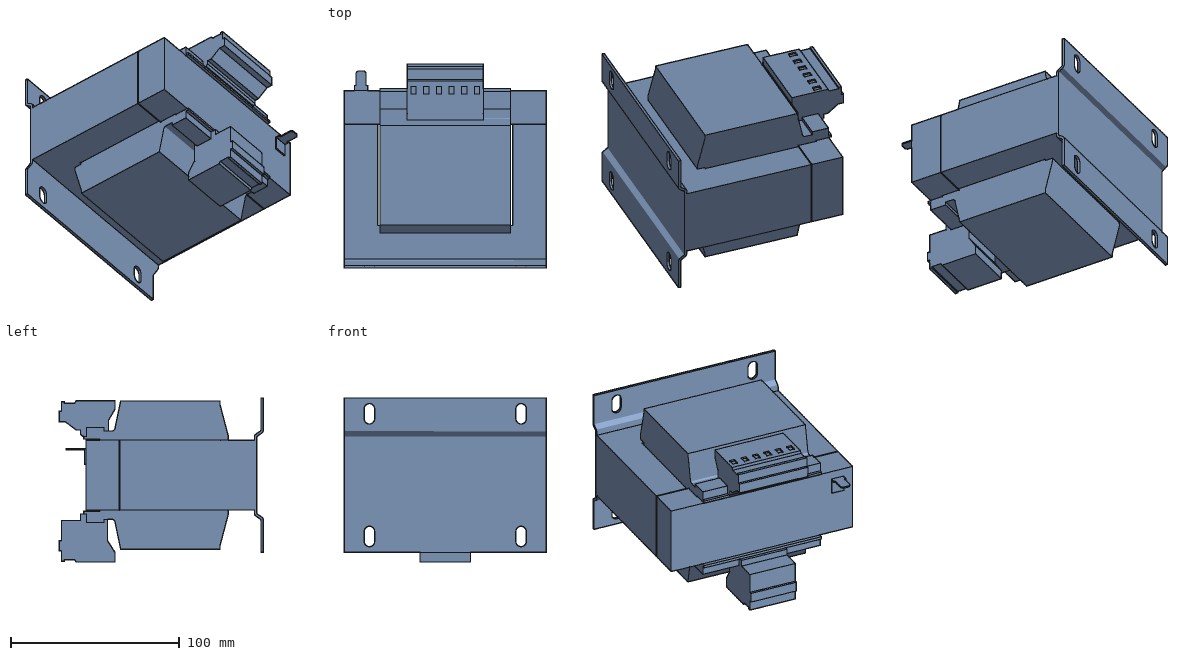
import cadquery as cq
import math


plate_width = 120.0
plate_half_height = 45.9
plate_thickness = 1.6
plate_offset = 3.9
joggle_centre = 24.6
joggle_slope_angle = 35
inner_bend_radius = 0.7
outer_bend_radius = inner_bend_radius + plate_thickness
slot_width = 6.1
slot_length = 12.0
slot_spacing_x = 90.0
slot_spacing_z = 72.8

core_width = plate_width
core_height = 41.5
core_front = plate_offset + plate_thickness
leg_width = 20.0
window_length = 59.9
window_front = core_front + leg_width
window_back = window_front + window_length
core_back = window_back + leg_width
core_top = core_height / 2
seam_width = 0.4
seam_depth = 0.2

coil_width = 77.6
coil_height = 44.0
coil_front = 20.9
coil_front_top = 25.7
coil_front_slope_low = 23.4
coil_front_slope_high = 41.8
coil_back_top = 84.8
trough_floor = 26.2
trough_front = 88.1
trough_radius = 2.1
ledge_front = 94.5
ledge_back = 104.9
ledge_top = 28.3
lip_back = 106.7
lip_top = 22.9
lip_bottom = 21.3
lip_relief_front = 97.2

terminal_back = 121.3
terminal_back_wall = 119.8
terminal_front = 88.1
terminal_neck_back = 108.6
neck_corner = 1.2
terminal_pitch = 7.5
top_terminals = 6
bottom_terminals = 4
groove_back = 118.1
groove_front = 112.1
groove_ramp = 0.8
groove_depth = 1.5
rim_drop = 0.5
top_terminal_height = 44.2
top_neck_front = 92.0
bottom_terminal_height = 51.7
bottom_neck_front = 92.4
terminal_hole_width = 3.2
terminal_hole_length = 4.5
terminal_hole_depth = 1.0
terminal_hole_y = 105.7

tab_x = -50.0
tab_thickness = 0.8
tab_top = 15.6
tab_bottom = 6.3
tab_end = 117.0
tab_width = 6.1
tab_chamfer = 1.1
tab_base_width = 8.0
tab_base_end = 108.5


def extrude_along_x(points, width):
    """Extrude a (Y, Z) outline to the given width, centred on X = 0."""
    return cq.Workplane("YZ").polyline(points).close().extrude(width / 2, both=True)


def block(x_size, y_start, y_end, z_start, z_end, x_centre=0):
    """Box centred on x_centre, between the given Y and Z limits."""
    size = (x_size, y_end - y_start, z_end - z_start)
    return cq.Workplane("XY").box(*size, centered=(True, False, False)).translate((x_centre, y_start, z_start))


def fillet_corner(solid, y, z, radius):
    """Round the edge that runs along X through the given (Y, Z) corner."""
    corner = cq.selectors.NearestToPointSelector((0, y, z))
    return solid.edges("|X").edges(corner).fillet(radius)


def make_plate():
    half_climb = plate_offset * math.tan(math.radians(joggle_slope_angle)) / 2
    bend_angle = math.radians(90 - joggle_slope_angle)
    miter = plate_thickness / 2 * math.tan(bend_angle / 2)
    flange_bend = joggle_centre + half_climb
    web_bend = joggle_centre - half_climb
    front_edge = [
        (0, plate_half_height),
        (0, flange_bend - miter),
        (plate_offset, web_bend - miter),
    ]
    back_edge = [
        (core_front, web_bend + miter),
        (plate_thickness, flange_bend + miter),
        (plate_thickness, plate_half_height),
    ]
    lower_front = [(y, -z) for y, z in reversed(front_edge)]
    lower_back = [(y, -z) for y, z in reversed(back_edge)]
    plate = extrude_along_x(front_edge + lower_front + lower_back + back_edge, plate_width)
    for side in (1, -1):
        plate = fillet_corner(plate, 0, side * (flange_bend - miter), outer_bend_radius)
        plate = fillet_corner(plate, plate_offset, side * (web_bend - miter), inner_bend_radius)
        plate = fillet_corner(plate, core_front, side * (web_bend + miter), outer_bend_radius)
        plate = fillet_corner(plate, plate_thickness, side * (flange_bend + miter), inner_bend_radius)
    slots = (
        cq.Workplane("XZ")
        .rarray(slot_spacing_x, slot_spacing_z, 2, 2)
        .slot2D(slot_length, slot_width, 90)
        .extrude(-plate_thickness)
    )
    return plate.cut(slots)


def make_core():
    core = block(core_width, core_front, core_back, -core_top, core_top)
    window = block(core_width - 2 * leg_width, window_front, window_back, -core_top, core_top)
    seam_front = window_back - seam_width / 2
    seam_back = window_back + seam_width / 2
    seam = block(core_width, seam_front, seam_back, -core_top, core_top)
    seam = seam.cut(
        block(core_width - 2 * seam_depth, seam_front, seam_back, seam_depth - core_top, core_top - seam_depth)
    )
    return core.cut(window).cut(seam)


def make_coil():
    coil_edge = [
        (coil_front, core_top),
        (coil_front, coil_front_slope_low),
        (coil_front_top, coil_front_slope_high),
        (coil_front_top, coil_height),
        (coil_back_top, coil_height),
        (trough_front, trough_floor + trough_radius),
    ]
    trough_arc_end = (trough_front + trough_radius, trough_floor)
    ledge_edge = [
        (ledge_front, trough_floor),
        (ledge_front, ledge_top),
        (ledge_back, ledge_top),
        (ledge_back, lip_top),
        (lip_back, lip_top),
        (lip_back, lip_bottom),
        (lip_relief_front, lip_bottom),
        (lip_relief_front, core_top),
    ]
    overhang = (
        cq.Workplane("YZ")
        .polyline(coil_edge)
        .radiusArc(trough_arc_end, -trough_radius)
        .polyline(ledge_edge, includeCurrent=True)
        .close()
        .extrude(coil_width / 2, both=True)
    )
    winding = block(coil_width, window_front, window_back, -core_top, core_top)
    return winding.union(overhang).union(overhang.mirror("XY"))


def crown_outline(height):
    """Outer end of a terminal block, from its back wall to its front face."""
    rim = height - rim_drop
    groove_floor = height - groove_depth
    return [
        (terminal_back_wall, rim),
        (groove_back, rim),
        (groove_back, groove_floor),
        (groove_front, groove_floor),
        (groove_front - groove_ramp, height),
        (terminal_front, height),
    ]


def foot_outline(neck_front):
    """Underside of a terminal block, which hooks over the ledge of the bobbin."""
    return [
        (neck_front, trough_floor),
        (ledge_front, trough_floor),
        (ledge_front, ledge_top),
        (ledge_back, ledge_top),
        (ledge_back, lip_top),
    ]


def make_top_terminals():
    front_face_low = 39.0
    neck_high = 32.4
    key_high = 38.0
    key_low = 31.7
    ramp_back = 117.7
    ramp_front = 111.1
    shoulder = 26.7
    outline = (
        crown_outline(top_terminal_height)
        + [(terminal_front, front_face_low), (top_neck_front, neck_high)]
        + foot_outline(top_neck_front)
        + [
            (terminal_neck_back - neck_corner, lip_top),
            (terminal_neck_back, lip_top + neck_corner),
            (terminal_neck_back, shoulder),
            (ramp_front, shoulder),
            (ramp_back, key_low),
            (terminal_back, key_low),
            (terminal_back, key_high),
            (terminal_back_wall, key_high),
        ]
    )
    holes = (
        cq.Workplane("XY", origin=(0, terminal_hole_y, top_terminal_height))
        .rarray(terminal_pitch, 1.2, top_terminals, 1)
        .rect(terminal_hole_width, terminal_hole_length)
        .extrude(-terminal_hole_depth)
    )
    return extrude_along_x(outline, top_terminals * terminal_pitch).cut(holes)


def make_bottom_terminals():
    front_face_low = 45.9
    neck_high = 38.9
    key_high = 44.9
    key_low = 38.9
    shoulder = 26.8
    outline = (
        crown_outline(bottom_terminal_height)
        + [(terminal_front, front_face_low), (bottom_neck_front, neck_high)]
        + foot_outline(bottom_neck_front)
        + [
            (terminal_neck_back, lip_top),
            (terminal_neck_back, shoulder),
            (terminal_back_wall, shoulder),
            (terminal_back_wall, key_low),
            (terminal_back, key_low),
            (terminal_back, key_high),
            (terminal_back_wall, key_high),
        ]
    )
    return extrude_along_x(outline, bottom_terminals * terminal_pitch).mirror("XY")


def make_earth_tab():
    blade_bottom = tab_top - tab_thickness
    leg = block(tab_base_width, core_back, core_back + tab_thickness, tab_bottom, tab_top, tab_x)
    base = block(tab_base_width, core_back, tab_base_end, blade_bottom, tab_top, tab_x)
    blade = block(tab_width, core_back, tab_end, blade_bottom, tab_top, tab_x)
    blade = blade.faces(">Y").edges("|Z").chamfer(tab_chamfer)
    return leg.union(base).union(blade)


result = (
    make_core()
    .union(make_plate())
    .union(make_coil())
    .union(make_top_terminals())
    .union(make_bottom_terminals())
    .union(make_earth_tab())
)